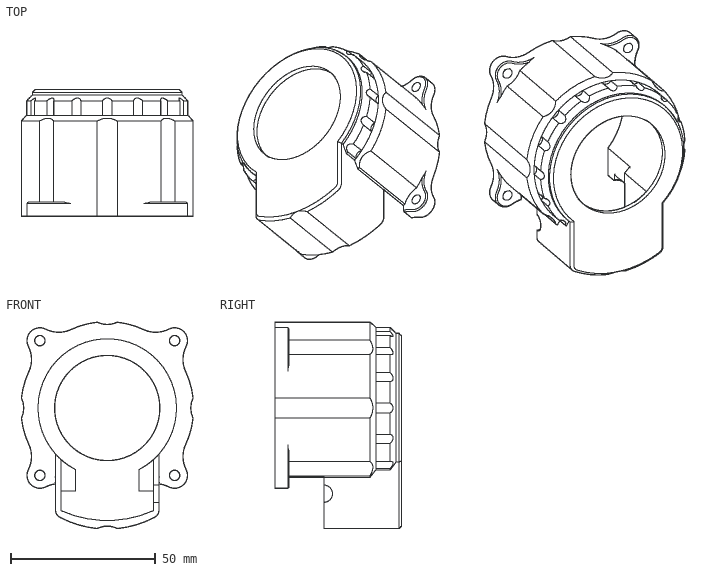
import math

import cadquery as cq


LENGTH = 44.0
BODY_RADIUS = 30.0
RING_RADIUS = 28.0
LIP_RADIUS = 26.0
BODY_END = 33.0
RING_START = 35.0
RING_END = 40.0
LIP_START = 42.0
END_CHAMFER = 1.0

BORE_RADIUS = 24.0
REAR_HOLE_RADIUS = 36.4 / 2
REAR_WALL = 2.0

BODY_GROOVE_COUNT = 8
BODY_GROOVE_RADIUS = 8.0
RING_GROOVE_COUNT = 16
RING_GROOVE_RADIUS = 2.0
GROOVE_DEPTH = 1.0

EAR_COUNT = 4
EAR_OFFSET = 23.35
EAR_RADIUS = 4.5
EAR_FILLET = 10.0
EAR_THICKNESS = 5.0
EAR_CHAMFER = 0.5
SCREW_DIAMETER = 3.5
EAR_ROOT_RADIUS = 26.0
EAR_SINK = 0.003

BOX_HALF_WIDTH = 18.0
BOX_WALL = 2.0
BOX_FRONT = 17.0
BOX_BOTTOM = 42.0
BOX_ARC_RADIUS = 35.0
BOX_CORNER_FILLET = 3.0
CAVITY_ARC_RADIUS = 39.0
CAVITY_HALF_WIDTH = BOX_HALF_WIDTH - BOX_WALL

BLOCK_INNER_X = 11.0
BLOCK_BOTTOM = 28.8
BLOCK_FRONT = 34.0

NOTCH_RADIUS = 3.0
NOTCH_DROP = 29.7


def prism(outline, start, end):
    """Extrude an XZ outline along +Y from start to end."""
    return outline.extrude(start - end).translate((0, start, 0))


def cylinder(radius, start, end, x=0.0, z=0.0):
    return prism(cq.Workplane("XZ").center(x, z).circle(radius), start, end)


def box(x_min, x_max, start, end, z_min, z_max):
    size = (x_max - x_min, end - start, z_max - z_min)
    return cq.Workplane("XY").box(*size, centered=False).translate((x_min, start, z_min))


def polar(radius, angle):
    """Point in the XZ plane at an angle in radians from +X."""
    return (radius * math.cos(angle), radius * math.sin(angle))


def barrel():
    profile = [
        (0, 0),
        (BODY_RADIUS, 0),
        (BODY_RADIUS, BODY_END),
        (RING_RADIUS, RING_START),
        (RING_RADIUS, RING_END),
        (LIP_RADIUS, LIP_START),
        (LIP_RADIUS, LENGTH - END_CHAMFER),
        (LIP_RADIUS - END_CHAMFER, LENGTH),
        (0, LENGTH),
    ]
    return cq.Workplane("XY").polyline(profile).close().revolve(360, (0, 0, 0), (0, 1, 0))


def grooves(count, surface_radius, groove_radius, start, end):
    """Round flutes, evenly spaced about the axis."""
    center_radius = surface_radius - GROOVE_DEPTH + groove_radius
    centers = [polar(center_radius, math.tau * i / count) for i in range(count)]
    return prism(cq.Workplane("XZ").pushPoints(centers).circle(groove_radius), start, end)


def ear():
    """Screw ear on the +X +Z diagonal, blended into the barrel by concave arcs."""
    diagonal = math.pi / 4
    ear_distance = EAR_OFFSET * math.sqrt(2)
    sunk_radius = BODY_RADIUS - EAR_SINK
    blend_distance = sunk_radius + EAR_FILLET
    ear_reach = EAR_RADIUS + EAR_FILLET
    cos_at_axis = (blend_distance**2 + ear_distance**2 - ear_reach**2) / (2 * blend_distance * ear_distance)
    root_angle = math.acos(cos_at_axis)

    def blend_points(side):
        angle = diagonal + side * root_angle
        center = polar(blend_distance, angle)
        to_ear = math.atan2(EAR_OFFSET - center[1], EAR_OFFSET - center[0])
        to_axis = math.atan2(-center[1], -center[0])
        half_turn = math.remainder(to_ear - to_axis, math.tau) / 2
        middle, tip = [
            (center[0] + EAR_FILLET * math.cos(a), center[1] + EAR_FILLET * math.sin(a))
            for a in (to_axis + half_turn, to_ear)
        ]
        return polar(EAR_ROOT_RADIUS, angle), polar(sunk_radius, angle), middle, tip

    inner_a, root_a, middle_a, tip_a = blend_points(-1)
    inner_b, root_b, middle_b, tip_b = blend_points(1)
    outline = (
        cq.Workplane("XZ")
        .moveTo(*inner_a)
        .lineTo(*root_a)
        .threePointArc(middle_a, tip_a)
        .threePointArc(polar(ear_distance + EAR_RADIUS, diagonal), tip_b)
        .threePointArc(middle_b, root_b)
        .lineTo(*inner_b)
        .close()
    )
    return prism(outline, 0, EAR_THICKNESS).faces(">Y").edges("%CIRCLE").chamfer(EAR_CHAMFER)


def arched_outline(half_width, arc_radius, bottom):
    """Outline from the axis down to a bottom bowed downwards."""
    arc_center = arc_radius - bottom
    corner_z = arc_center - math.sqrt(arc_radius**2 - half_width**2)
    return (
        cq.Workplane("XZ")
        .moveTo(-half_width, 0)
        .lineTo(-half_width, corner_z)
        .threePointArc((0, -bottom), (half_width, corner_z))
        .lineTo(half_width, 0)
        .close()
    )


def connector_box():
    outline = arched_outline(BOX_HALF_WIDTH, BOX_ARC_RADIUS, BOX_BOTTOM)
    shell = prism(outline, BOX_FRONT, LENGTH)
    shell = shell.edges("|Y").edges("<Z").fillet(BOX_CORNER_FILLET)
    shell = shell.faces(">Y").edges("not >Z").chamfer(END_CHAMFER)
    groove_z = -(BOX_BOTTOM - GROOVE_DEPTH + BODY_GROOVE_RADIUS)
    return shell.cut(cylinder(BODY_GROOVE_RADIUS, BOX_FRONT, LENGTH, z=groove_z))


def box_cavity():
    """Space inside the box, less the two corner blocks standing on its rear wall."""
    outline = arched_outline(CAVITY_HALF_WIDTH, CAVITY_ARC_RADIUS, CAVITY_ARC_RADIUS)
    cavity = prism(outline, BOX_FRONT, LENGTH - REAR_WALL)
    for x_min in (-CAVITY_HALF_WIDTH, BLOCK_INNER_X):
        x_max = x_min + CAVITY_HALF_WIDTH - BLOCK_INNER_X
        cavity = cavity.cut(box(x_min, x_max, BLOCK_FRONT, LENGTH, -BLOCK_BOTTOM, 0))
    return cavity


def cable_notch():
    hole = cq.Workplane("YZ").center(BOX_FRONT, -NOTCH_DROP).circle(NOTCH_RADIUS)
    return hole.extrude(BOX_WALL).translate((CAVITY_HALF_WIDTH, 0, 0))


body = barrel()
body = body.cut(grooves(BODY_GROOVE_COUNT, BODY_RADIUS, BODY_GROOVE_RADIUS, 0, RING_START))
body = body.cut(grooves(RING_GROOVE_COUNT, RING_RADIUS, RING_GROOVE_RADIUS, RING_START, LIP_START))

for turn in range(EAR_COUNT):
    body = body.union(ear().rotate((0, 0, 0), (0, 1, 0), turn * 360 / EAR_COUNT))
body = body.union(connector_box())

body = body.cut(cylinder(BORE_RADIUS, 0, LENGTH - REAR_WALL))
body = body.cut(cylinder(REAR_HOLE_RADIUS, 0, LENGTH))
body = body.cut(box(-BOX_HALF_WIDTH, BOX_HALF_WIDTH, 0, BOX_FRONT, -BOX_BOTTOM, 0))
body = body.cut(box_cavity())
body = body.cut(cable_notch())

for x in (-EAR_OFFSET, EAR_OFFSET):
    for z in (-EAR_OFFSET, EAR_OFFSET):
        body = body.cut(cylinder(SCREW_DIAMETER / 2, 0, EAR_THICKNESS, x, z))

result = body